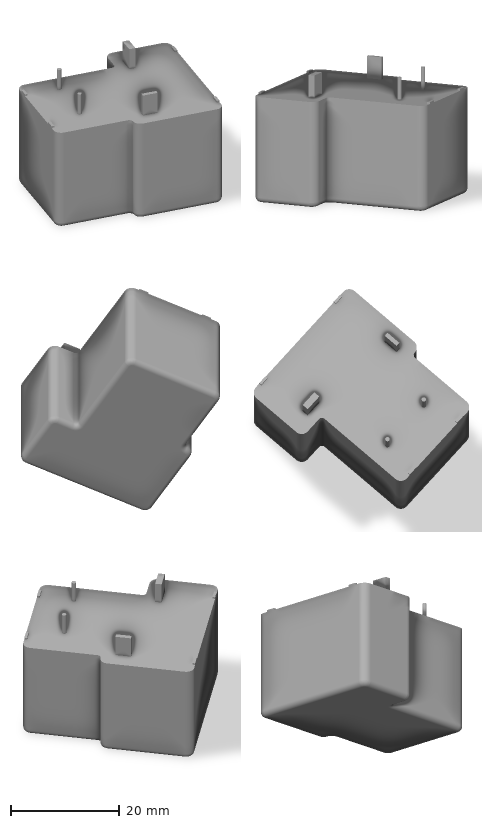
import cadquery as cq

width = 27.45
length = 32.5
housing_height = 20.0
front_left_x = 5.35
left_step_y = 19.7
right_step_y = 14.9
outer_corner_radius = 1.5
inner_corner_radius = 0.7
front_right_x = width - outer_corner_radius - inner_corner_radius
bottom_fillet_radius = 0.95

tab_depth = 0.52
tab_height = 0.35
rear_tab_width = 1.72
rear_tab_centers_x = (3.3, 24.15)
front_tab_width = 1.82
front_tab_centers_x = (8.6, 21.85)

terminal_height = 4.2
left_blade_size = (3.25, 1.25)
left_blade_center = (5.43, 22.37)
right_blade_size = (0.78, 2.93)
right_blade_center = (24.2, 18.92)
round_pin_diameter = 0.8
round_pin_centers = [(9.23, 6.9), (19.4, 6.9)]


def upright_block(size, center, height):
    """Rectangular block standing on the top face of the housing."""
    return (
        cq.Workplane("XY", origin=(center[0], center[1], housing_height))
        .rect(*size)
        .extrude(height)
    )


def add_tabs(body, tab_width, centers_x, center_y):
    """Join a row of standoff tabs to the top face of the body."""
    for x in centers_x:
        body = body.union(upright_block((tab_width, tab_depth), (x, center_y), tab_height))
    return body


def make_outline():
    """Closed outline, clockwise from the left wall; the right step is two arcs in an S-curve."""
    convex = outer_corner_radius
    concave = inner_corner_radius
    return (
        cq.Workplane("XY")
        .moveTo(0, left_step_y + convex)
        .lineTo(0, length - convex)
        .radiusArc((convex, length), convex)
        .lineTo(width - convex, length)
        .radiusArc((width, length - convex), convex)
        .lineTo(width, right_step_y + convex)
        .radiusArc((width - convex, right_step_y), convex)
        .radiusArc((front_right_x, right_step_y - concave), -concave)
        .lineTo(front_right_x, convex)
        .radiusArc((front_right_x - convex, 0), convex)
        .lineTo(front_left_x + convex, 0)
        .radiusArc((front_left_x, convex), convex)
        .lineTo(front_left_x, left_step_y - concave)
        .radiusArc((front_left_x - concave, left_step_y), -concave)
        .lineTo(convex, left_step_y)
        .radiusArc((0, left_step_y + convex), convex)
        .close()
    )


def make_housing():
    body = make_outline().extrude(housing_height)
    body = body.faces("<Z").edges().fillet(bottom_fillet_radius)

    body = add_tabs(body, rear_tab_width, rear_tab_centers_x, length - tab_depth / 2)
    return add_tabs(body, front_tab_width, front_tab_centers_x, tab_depth / 2)


def make_round_pin(center):
    return (
        cq.Workplane("XY", origin=(center[0], center[1], housing_height))
        .circle(round_pin_diameter / 2)
        .extrude(terminal_height)
    )


housing = make_housing()
left_blade = upright_block(left_blade_size, left_blade_center, terminal_height)
right_blade = upright_block(right_blade_size, right_blade_center, terminal_height)
round_pins = [make_round_pin(center) for center in round_pin_centers]

result = cq.Compound.makeCompound(
    [housing.val(), left_blade.val(), right_blade.val(), *[pin.val() for pin in round_pins]]
)